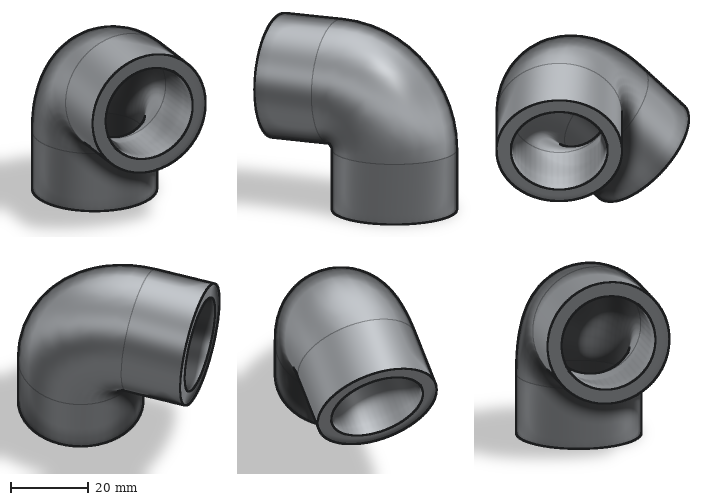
import cadquery as cq

overall_length = 48.75
outer_diameter = 32.5
bore_diameter = 25.0
bend_radius = 16.45

leg_length = overall_length - bend_radius - outer_diameter / 2


def swept_elbow(diameter):
    """Solid round bar: up the Z leg, through a quarter bend, out along the X leg."""
    radius = diameter / 2
    vertical_leg = cq.Workplane("XY").circle(radius).extrude(leg_length)
    bend = (
        cq.Workplane("XY", origin=(0, 0, leg_length))
        .circle(radius)
        .revolve(90, (bend_radius, 0, 0), (bend_radius, 1, 0))
    )
    horizontal_leg = (
        cq.Workplane("YZ", origin=(bend_radius, 0, leg_length + bend_radius))
        .circle(radius)
        .extrude(leg_length)
    )
    return vertical_leg.union(bend).union(horizontal_leg)


result = swept_elbow(outer_diameter).cut(swept_elbow(bore_diameter))